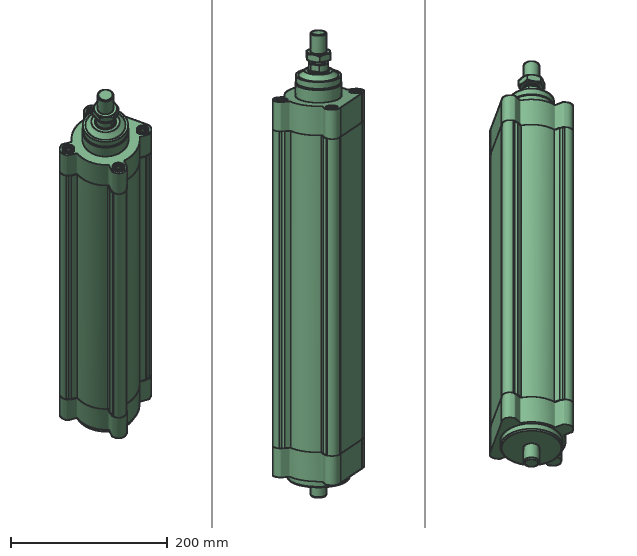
import cadquery as cq
import math

TOTAL_LENGTH = 623.5
FLANGE_Z = 24.0
REAR_FACE_Z = 33.5
FRONT_FACE_Z = 539.0
CAP_LENGTH = 39.0
COLLAR_STEP_Z = 555.5
COLLAR_TOP_Z = 566.0
ROD_SHOULDER_Z = 583.0
THREAD_START_Z = 587.0
NUT_Z = 588.0
NUT_HEIGHT = 10.0
BARREL_BOTTOM_Z = REAR_FACE_Z + CAP_LENGTH
BARREL_TOP_Z = FRONT_FACE_Z - CAP_LENGTH

CORNER_COUNT = 4
WIDTH = 93.0
HALF_WIDTH = WIDTH / 2
BODY_RADIUS = 43.5
LOBE_RADIUS = 10.0
LOBE_CENTRE = HALF_WIDTH - LOBE_RADIUS
FLANK_OFFSET = 32.0
FLANK_FILLET = 3.0
VALLEY_FILLET = 1.0

NOTCH_OUTER = 33.5
NOTCH_CORNER = 31.0
NOTCH_INNER = 27.5
BARREL_FLANK_SHIFT = 16.0

FLANGE_DIAMETER = 80.0
FLANGE_CHAMFER = 2.0
COLLAR_DIAMETER = 59.0
COLLAR_UPPER_DIAMETER = 58.0
COLLAR_STEP_HEIGHT = 2.0
CONE_BASE_DIAMETER = 51.0
CONE_TOP_DIAMETER = 40.0
CONE_HEIGHT = 4.5
CREST_DIAMETER = 36.0
CREST_HEIGHT = 2.0
LIP_DIAMETER = 27.5
LIP_HEIGHT = 1.0
SCREW_OFFSET = 35.5
SCREW_GROOVE_DIAMETER = 15.5
SCREW_GROOVE_DEPTH = 2.0
SCREW_HEAD_DIAMETER = 12.0
SCREW_SINK_DIAMETER = 8.0
SCREW_HOLE_DIAMETER = 5.5
SCREW_HOLE_DEPTH = 15.5

ROD_DIAMETER = 25.0
FLATS_WIDTH = 22.0
FLATS_LENGTH = 9.0
SHAFT_DIAMETER = 20.5
NECK_DIAMETER = 18.0
SHAFT_CHAMFER = 2.0
THREAD_CHAMFER = (SHAFT_DIAMETER - NECK_DIAMETER) / 2
NUT_WIDTH = 30.0
NUT_FACE_DIAMETER = 29.0
NUT_CHAMFER_ANGLE = math.radians(30)
HEX_SIDES = 6
HALF_HEX_ANGLE = math.pi / HEX_SIDES


def cylinder(diameter, bottom, top):
    return cq.Workplane("XY", origin=(0, 0, bottom)).circle(diameter / 2).extrude(top - bottom)


def turned(profile):
    """Revolve (diameter, z) points, closed along the Z axis."""
    outline = [(0, profile[0][1])]
    outline += [(diameter / 2, z) for diameter, z in profile]
    outline.append((0, profile[-1][1]))
    return cq.Workplane("XZ").polyline(outline).close().revolve(360, (0, 0, 0), (0, 1, 0))


def around_corners(x, y):
    """The point (x, y) and its mirror across the diagonal, repeated at all four corners."""
    points = []
    for i in range(CORNER_COUNT):
        turn = math.radians(i * 360 / CORNER_COUNT)
        for u, v in ((x, y), (y, x)):
            points.append((
                u * math.cos(turn) - v * math.sin(turn),
                u * math.sin(turn) + v * math.cos(turn),
            ))
    return points


def fillet_upright_edges(body, points, z, radius):
    for x, y in points:
        nearest = cq.selectors.NearestToPointSelector((x, y, z))
        body = body.edges(nearest).fillet(radius)
    return body


def lobed_prism(lobe_outline, bottom, top):
    """Round body with four corner lobes; the lobe outline lies in the +X +Y corner."""
    body = cylinder(2 * BODY_RADIUS, bottom, top)
    lobe = lobe_outline(cq.Workplane("XY", origin=(0, 0, bottom))).extrude(top - bottom)
    for i in range(CORNER_COUNT):
        body = body.union(lobe.rotate((0, 0, 0), (0, 0, 1), i * 360 / CORNER_COUNT))
    return body


def flat_side(bottom, top):
    """Block that fills the +Y side out to a flat mounting face."""
    return (
        cq.Workplane("XY", origin=(0, HALF_WIDTH / 2, bottom))
        .rect(2 * FLANK_OFFSET, HALF_WIDTH)
        .extrude(top - bottom)
    )


def cap_body(bottom, top):
    middle = (bottom + top) / 2
    shift = HALF_WIDTH - FLANK_OFFSET
    valley_x = (math.sqrt(2 * BODY_RADIUS**2 - shift**2) - shift) / 2
    body = lobed_prism(cap_lobe, bottom, top)
    body = fillet_upright_edges(body, around_corners(valley_x, valley_x + shift), middle, VALLEY_FILLET)
    body = fillet_upright_edges(body, around_corners(FLANK_OFFSET, HALF_WIDTH), middle, FLANK_FILLET)
    return body.union(flat_side(bottom, top))


def cap_lobe(plane):
    tip = LOBE_CENTRE + LOBE_RADIUS / math.sqrt(2)
    flank_start = HALF_WIDTH - FLANK_OFFSET
    return (
        plane.moveTo(0, 0)
        .lineTo(flank_start, 0)
        .lineTo(HALF_WIDTH, FLANK_OFFSET)
        .lineTo(HALF_WIDTH, LOBE_CENTRE)
        .threePointArc((tip, tip), (LOBE_CENTRE, HALF_WIDTH))
        .lineTo(FLANK_OFFSET, HALF_WIDTH)
        .lineTo(0, flank_start)
        .close()
    )


def barrel_lobe(plane):
    tip = LOBE_CENTRE + LOBE_RADIUS / math.sqrt(2)
    floor = NOTCH_INNER + BARREL_FLANK_SHIFT
    arc_end = LOBE_CENTRE + math.sqrt(LOBE_RADIUS**2 - (LOBE_CENTRE - NOTCH_OUTER) ** 2)
    return (
        plane.moveTo(0, 0)
        .lineTo(BARREL_FLANK_SHIFT, 0)
        .lineTo(floor, NOTCH_INNER)
        .lineTo(floor, NOTCH_CORNER)
        .lineTo(arc_end, NOTCH_OUTER)
        .threePointArc((tip, tip), (NOTCH_OUTER, arc_end))
        .lineTo(NOTCH_CORNER, floor)
        .lineTo(NOTCH_INNER, floor)
        .lineTo(0, BARREL_FLANK_SHIFT)
        .close()
    )


def screw_seat():
    """Cutter for a ring groove around a countersunk hole."""
    groove_z = FRONT_FACE_Z - SCREW_GROOVE_DEPTH
    sink_depth = (SCREW_SINK_DIAMETER - SCREW_HOLE_DIAMETER) / 2
    groove = cylinder(SCREW_GROOVE_DIAMETER, groove_z, FRONT_FACE_Z).cut(
        cylinder(SCREW_HEAD_DIAMETER, groove_z, FRONT_FACE_Z)
    )
    hole = turned([
        (SCREW_HOLE_DIAMETER, FRONT_FACE_Z - SCREW_HOLE_DEPTH),
        (SCREW_HOLE_DIAMETER, FRONT_FACE_Z - sink_depth),
        (SCREW_SINK_DIAMETER, FRONT_FACE_Z),
    ])
    return groove.union(hole)


def make_rear_cap():
    flange = cylinder(FLANGE_DIAMETER, FLANGE_Z, REAR_FACE_Z).faces("<Z").chamfer(FLANGE_CHAMFER)
    shaft_bore = cylinder(SHAFT_DIAMETER, FLANGE_Z, BARREL_BOTTOM_Z)
    return cap_body(REAR_FACE_Z, BARREL_BOTTOM_Z).union(flange).cut(shaft_bore)


def make_barrel():
    rod_bore = cylinder(ROD_DIAMETER, BARREL_BOTTOM_Z, BARREL_TOP_Z)
    body = lobed_prism(barrel_lobe, BARREL_BOTTOM_Z, BARREL_TOP_Z)
    return body.union(flat_side(BARREL_BOTTOM_Z, BARREL_TOP_Z)).cut(rod_bore)


def make_front_cap():
    cone_top_z = COLLAR_TOP_Z + CONE_HEIGHT
    crest_z = cone_top_z + CREST_HEIGHT
    lip_top_z = crest_z + LIP_HEIGHT
    nose = turned([
        (COLLAR_DIAMETER, FRONT_FACE_Z),
        (COLLAR_DIAMETER, COLLAR_STEP_Z),
        (COLLAR_UPPER_DIAMETER, COLLAR_STEP_Z + COLLAR_STEP_HEIGHT),
        (COLLAR_UPPER_DIAMETER, COLLAR_TOP_Z),
        (CONE_BASE_DIAMETER, COLLAR_TOP_Z),
        (CONE_TOP_DIAMETER, cone_top_z),
        (CREST_DIAMETER, crest_z),
        (LIP_DIAMETER, crest_z),
        (ROD_DIAMETER, lip_top_z),
    ])
    cap = cap_body(BARREL_TOP_Z, FRONT_FACE_Z).union(nose)
    cap = cap.cut(cylinder(ROD_DIAMETER, BARREL_TOP_Z, lip_top_z))
    for x in (-SCREW_OFFSET, SCREW_OFFSET):
        for y in (-SCREW_OFFSET, SCREW_OFFSET):
            cap = cap.cut(screw_seat().translate((x, y, 0)))
    return cap


def make_rod():
    rod = turned([
        (SHAFT_DIAMETER - 2 * SHAFT_CHAMFER, 0),
        (SHAFT_DIAMETER, SHAFT_CHAMFER),
        (SHAFT_DIAMETER, BARREL_BOTTOM_Z),
        (ROD_DIAMETER, BARREL_BOTTOM_Z),
        (ROD_DIAMETER, ROD_SHOULDER_Z),
        (NECK_DIAMETER, ROD_SHOULDER_Z),
        (NECK_DIAMETER, THREAD_START_Z - THREAD_CHAMFER),
        (SHAFT_DIAMETER, THREAD_START_Z),
        (SHAFT_DIAMETER, TOTAL_LENGTH - THREAD_CHAMFER),
        (NECK_DIAMETER, TOTAL_LENGTH),
    ])
    flats_plane = cq.Workplane("XY", origin=(0, 0, ROD_SHOULDER_Z - FLATS_LENGTH))
    between_flats = flats_plane.rect(FLATS_WIDTH, ROD_DIAMETER).extrude(FLATS_LENGTH)
    rod_end = flats_plane.circle(ROD_DIAMETER / 2).extrude(FLATS_LENGTH)
    return rod.cut(rod_end.cut(between_flats))


def make_nut():
    top_z = NUT_Z + NUT_HEIGHT
    corner_diameter = NUT_WIDTH / math.cos(HALF_HEX_ANGLE)
    chamfer_height = (corner_diameter - NUT_FACE_DIAMETER) / 2 * math.tan(NUT_CHAMFER_ANGLE)
    chamfered_blank = turned([
        (NUT_FACE_DIAMETER, NUT_Z),
        (corner_diameter, NUT_Z + chamfer_height),
        (corner_diameter, top_z - chamfer_height),
        (NUT_FACE_DIAMETER, top_z),
    ])
    hexagon = (
        cq.Workplane("XY", origin=(0, 0, NUT_Z))
        .polygon(HEX_SIDES, corner_diameter)
        .extrude(NUT_HEIGHT)
        .rotate((0, 0, 0), (0, 0, 1), 90)
    )
    return hexagon.intersect(chamfered_blank).cut(cylinder(SHAFT_DIAMETER, NUT_Z, top_z))


rear_cap = make_rear_cap()
barrel = make_barrel()
front_cap = make_front_cap()
rod = make_rod()
nut = make_nut()

result = cq.Compound.makeCompound([rear_cap.val(), barrel.val(), front_cap.val(), rod.val(), nut.val()])